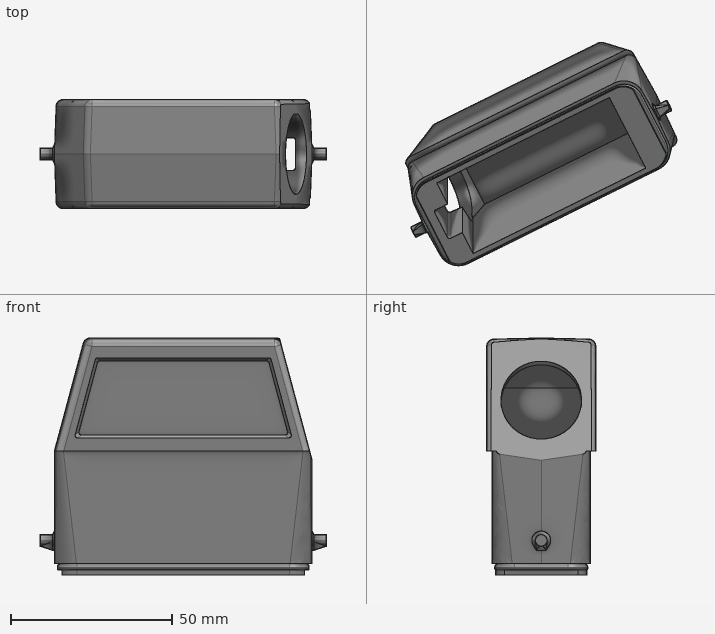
import math

import cadquery as cq

TOTAL_LENGTH = 88.9
HOOD_DEPTH = 33.9
TOTAL_HEIGHT = 73.6

CLEARANCE = 1.0

SKIRT_BASE_Z = 3.6
SHOULDER_Z = 38.45
SKIRT_HALF_LENGTH = 40.0
SKIRT_HALF_DEPTH = 15.25
SKIRT_BASE_RADIUS = 6.5
EDGE_RADIUS = 2.3

HOOD_HALF_DEPTH = HOOD_DEPTH / 2
END_SLOPE = math.tan(math.radians(15))
END_FOLD = 0.6
ROOF_FOLD = 0.4

PLINTH_HALF_DEPTH = 14.15
PLINTH_RADIUS = 5.5
CORNER_CENTRE_X = 32.9
PLINTH_HALF_LENGTH = 37.65
SEAL_HALF_DEPTH = 14.45
SEAL_RADIUS = 6.2
SEAL_BASE_Z = 1.6
SEAL_TOP_RADIUS = 1.2
SEAL_BASE_RADIUS = 0.5
PLINTH_TOP_Z = SEAL_BASE_Z + SEAL_BASE_RADIUS

PIN_RADIUS = 1.8
PIN_Z = 10.75
COLLAR_RADIUS = 2.9
COLLAR_LENGTH = 0.6
PIN_EMBED = 0.6
GUSSET_TIP_HALF_WIDTH = 0.5
GUSSET_TIP_Z = PIN_Z - math.sqrt(PIN_RADIUS**2 - GUSSET_TIP_HALF_WIDTH**2)
GUSSET_ROOT_HALF_WIDTH = 1.45
GUSSET_ROOT_Z = 7.7
FOOT_HALF_WIDTH = 2.5
FOOT_TOP_Z = PIN_Z - math.sqrt(COLLAR_RADIUS**2 - FOOT_HALF_WIDTH**2)

PANEL_BASE_Z = 42.6
PANEL_TOP_Z = 67.4
PANEL_BASE_HALF_LENGTH = 33.8
PANEL_DEPTH = 0.9
PANEL_WALL_RUN = 0.9
PANEL_CORNER_RADIUS = 0.8

ENTRY_FACE_SETBACK = 0.75
ENTRY_DIAMETER = 25.0
ENTRY_Z = 54.3
ENTRY_DEPTH = 10.0

CAVITY_HALF_LENGTH = 30.0
CAVITY_HALF_DEPTH = 12.5
CAVITY_KNEE_Z = 58.0
CAVITY_TOP_HALF_LENGTH = 26.0
CAVITY_TOP_Z = 70.0
SLOT_END_X = 34.8
SLOT_WIDTH = 10.1
SLOT_TOP_Z = 48.0
SLOT_CORNER_RADIUS = 0.8


def slope_x(z):
    """Half length of the hood at height z, measured on the ridge at Y = 0."""
    return SKIRT_HALF_LENGTH - (z - SHOULDER_Z) * END_SLOPE


def rounded_block(half_length, half_depth, radius, base_z, top_z):
    """Upright block with rounded vertical edges."""
    block = cq.Workplane("XY").workplane(offset=base_z).rect(2 * half_length, 2 * half_depth)
    return block.extrude(top_z - base_z).edges("|Z").fillet(radius)


def skirt_section(radius, z):
    """Six-sided outline, ridged at both ends, with its four corners rounded."""
    x = SKIRT_HALF_LENGTH
    corner_x = x - END_FOLD
    y = SKIRT_HALF_DEPTH
    points = [(x, 0), (corner_x, y), (-corner_x, y), (-x, 0), (-corner_x, -y), (corner_x, -y)]
    outline = cq.Wire.makePolygon([cq.Vector(px, py, z) for px, py in points], close=True)
    corners = [v for v in outline.Vertices() if abs(v.Y) > y / 2]
    return outline.fillet2D(radius, corners)


def make_skirt():
    base = skirt_section(SKIRT_BASE_RADIUS, SKIRT_BASE_Z)
    top = skirt_section(EDGE_RADIUS, SHOULDER_Z)
    return cq.Workplane(cq.Solid.makeLoft([base, top], True))


def hood_section(y, end_inset, roof_inset):
    """Trapezoid outline of the hood in the plane at the given y."""
    base_x = slope_x(SHOULDER_Z) - end_inset
    top_x = slope_x(TOTAL_HEIGHT) - end_inset
    top_z = TOTAL_HEIGHT - roof_inset
    points = [(-base_x, SHOULDER_Z), (base_x, SHOULDER_Z), (top_x, top_z), (-top_x, top_z)]
    return cq.Wire.makePolygon([cq.Vector(x, y, z) for x, z in points], close=True)


def make_hood():
    ridge = hood_section(0, 0, 0)
    hood = None
    for side in (-1, 1):
        face = hood_section(side * HOOD_HALF_DEPTH, END_FOLD, ROOF_FOLD)
        half = cq.Workplane(cq.Solid.makeLoft([ridge, face], True))
        hood = half if hood is None else hood.union(half)
    above_shoulder = cq.selectors.BoxSelector(
        (-TOTAL_LENGTH, -HOOD_DEPTH, SHOULDER_Z + CLEARANCE), (TOTAL_LENGTH, HOOD_DEPTH, 2 * TOTAL_HEIGHT)
    )
    ridge_lines = cq.selectors.BoxSelector(
        (-TOTAL_LENGTH, -CLEARANCE, 0), (TOTAL_LENGTH, CLEARANCE, 2 * TOTAL_HEIGHT)
    )
    return hood.edges(above_shoulder - ridge_lines).fillet(EDGE_RADIUS)


def make_plinth():
    plinth = rounded_block(
        CORNER_CENTRE_X + PLINTH_RADIUS, PLINTH_HALF_DEPTH, PLINTH_RADIUS, 0, PLINTH_TOP_Z
    )
    flat_ends = cq.Workplane("XY").box(2 * PLINTH_HALF_LENGTH, HOOD_DEPTH, TOTAL_HEIGHT)
    return plinth.intersect(flat_ends)


def make_seal():
    seal = rounded_block(
        CORNER_CENTRE_X + SEAL_RADIUS, SEAL_HALF_DEPTH, SEAL_RADIUS, SEAL_BASE_Z, SKIRT_BASE_Z
    )
    seal = seal.faces(">Z").edges().fillet(SEAL_TOP_RADIUS)
    return seal.faces("<Z").edges().fillet(SEAL_BASE_RADIUS)


def gusset_section(x, half_top, top_z, half_base, base_z):
    """Trapezoid across the pin axis at the given x, narrower at the bottom."""
    points = [(-half_top, top_z), (half_top, top_z), (half_base, base_z), (-half_base, base_z)]
    return cq.Wire.makePolygon([cq.Vector(x, y, z) for y, z in points], close=True)


def make_pin(side):
    """Round pin with a gusset deepening towards the wall, and a conical collar at its root."""
    tip_x = side * TOTAL_LENGTH / 2
    collar_x = side * (SKIRT_HALF_LENGTH + COLLAR_LENGTH)
    root_x = side * SKIRT_HALF_LENGTH
    embedded_x = root_x - side * PIN_EMBED
    inward = cq.Vector(-side, 0, 0)

    shank = cq.Solid.makeCylinder(
        PIN_RADIUS, abs(tip_x - embedded_x), cq.Vector(tip_x, 0, PIN_Z), inward
    )
    collar = cq.Solid.makeCone(
        PIN_RADIUS, COLLAR_RADIUS, COLLAR_LENGTH, cq.Vector(collar_x, 0, PIN_Z), inward
    )
    collar_root = cq.Solid.makeCylinder(
        COLLAR_RADIUS, PIN_EMBED, cq.Vector(root_x, 0, PIN_Z), inward
    )
    tip_section = gusset_section(tip_x, PIN_RADIUS, PIN_Z, GUSSET_TIP_HALF_WIDTH, GUSSET_TIP_Z)
    collar_section = gusset_section(
        collar_x, PIN_RADIUS, PIN_Z, GUSSET_ROOT_HALF_WIDTH, GUSSET_ROOT_Z
    )
    foot_sections = [
        gusset_section(x, FOOT_HALF_WIDTH, FOOT_TOP_Z, GUSSET_ROOT_HALF_WIDTH, GUSSET_ROOT_Z)
        for x in (root_x, embedded_x)
    ]
    gusset = cq.Solid.makeLoft([tip_section, collar_section] + foot_sections, True)
    pin = cq.Workplane(shank)
    for piece in (collar, collar_root, gusset):
        pin = pin.union(cq.Workplane(piece))
    return pin


def panel_section(inset, y):
    """Trapezoid with rounded corners, parallel to the hood ends, shrunk by an inset."""
    base_z = PANEL_BASE_Z + inset
    top_z = PANEL_TOP_Z - inset
    end_inset = inset / math.cos(math.atan(END_SLOPE))
    base_x = PANEL_BASE_HALF_LENGTH - end_inset - inset * END_SLOPE
    top_x = base_x - (top_z - base_z) * END_SLOPE
    points = [(-base_x, base_z), (base_x, base_z), (top_x, top_z), (-top_x, top_z)]
    outline = cq.Wire.makePolygon([cq.Vector(x, y, z) for x, z in points], close=True)
    return outline.fillet2D(PANEL_CORNER_RADIUS, outline.Vertices())


def make_panel_recess():
    mouth = panel_section(0, -HOOD_HALF_DEPTH)
    floor = panel_section(PANEL_WALL_RUN, -HOOD_HALF_DEPTH + PANEL_DEPTH)
    return cq.Workplane(cq.Solid.makeLoft([mouth, floor], True))


def entry_x(z):
    """X of the flat entry face at height z."""
    return slope_x(z) - ENTRY_FACE_SETBACK


def make_entry_cut():
    """Material removed to flatten the +X slope, and the bore square to that flat."""
    top_z = TOTAL_HEIGHT + CLEARANCE
    profile = [(entry_x(0), 0), (TOTAL_LENGTH, 0), (TOTAL_LENGTH, top_z), (entry_x(top_z), top_z)]
    flat = cq.Workplane("XZ").polyline(profile).close().extrude(HOOD_HALF_DEPTH, both=True)
    bore = cq.Solid.makeCylinder(
        ENTRY_DIAMETER / 2,
        ENTRY_DEPTH,
        cq.Vector(entry_x(ENTRY_Z), 0, ENTRY_Z),
        cq.Vector(-1, 0, -END_SLOPE),
    )
    return flat.union(cq.Workplane(bore))


def make_cavity():
    """Main cavity plus a narrow slot that reaches out under the cable entry."""
    half_profile = [
        (CAVITY_HALF_LENGTH, 0),
        (CAVITY_HALF_LENGTH, CAVITY_KNEE_Z),
        (CAVITY_TOP_HALF_LENGTH, CAVITY_TOP_Z),
    ]
    mirrored = [(-x, z) for x, z in reversed(half_profile)]
    main = cq.Workplane("XZ").polyline(half_profile + mirrored).close()
    main = main.extrude(CAVITY_HALF_DEPTH, both=True)
    slot = cq.Workplane("XY").box(
        SLOT_END_X, SLOT_WIDTH, SLOT_TOP_Z, centered=(False, True, False)
    )
    return main.union(slot.edges("|Z and >X").fillet(SLOT_CORNER_RADIUS))


body = make_hood().union(make_skirt()).union(make_seal()).union(make_plinth())
body = body.cut(make_entry_cut()).cut(make_panel_recess())
for pin_side in (-1, 1):
    body = body.union(make_pin(pin_side))
result = body.cut(make_cavity())